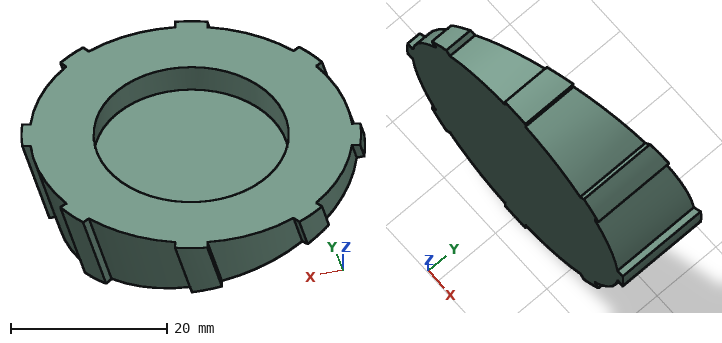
import cadquery as cq
import math

tip_radius = 21.0
body_radius = 20.0
tooth_width = 4.0
tooth_count = 8
thick_edge = 13.3
wedge_angle = 15.0
recess_diameter = 25.0
recess_depth = 4.0

rise = 2 * tip_radius * math.tan(math.radians(wedge_angle))
thin_edge = thick_edge - rise
centre_thickness = (thick_edge + thin_edge) / 2


def toothed_disk():
    """Disk along +Y with evenly spaced teeth whose tips lie on a circle."""
    body = cq.Workplane("XZ").circle(body_radius).extrude(-thick_edge)
    tip_cylinder = cq.Workplane("XZ").circle(tip_radius).extrude(-thick_edge)
    for i in range(tooth_count // 2):
        bar = (
            cq.Workplane("XZ")
            .transformed(rotate=(0, 0, i * 360 / tooth_count))
            .rect(2 * tip_radius, tooth_width)
            .extrude(-thick_edge)
        )
        body = body.union(bar.intersect(tip_cylinder))
    return body


def wedge():
    """Block under the sloped face, flat at Y = 0 and thickest at +X."""
    return (
        cq.Workplane("XY")
        .polyline([
            (-tip_radius, 0),
            (tip_radius, 0),
            (tip_radius, thick_edge),
            (-tip_radius, thin_edge),
        ])
        .close()
        .extrude(tip_radius, both=True)
    )


def recess():
    """Blind round pocket, square to the sloped face at its centre."""
    tilt = math.radians(wedge_angle)
    outward = cq.Vector(-math.sin(tilt), math.cos(tilt), 0)
    face_plane = cq.Plane(
        origin=(0, centre_thickness, 0),
        xDir=(0, 0, 1),
        normal=outward.toTuple(),
    )
    return cq.Workplane(face_plane).circle(recess_diameter / 2).extrude(-recess_depth)


result = toothed_disk().intersect(wedge()).cut(recess())